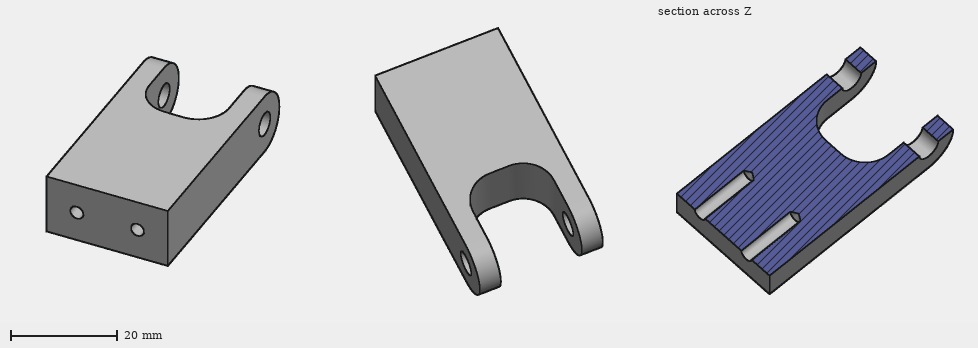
import cadquery as cq
import math

width = 25.4
length = 47.625
thickness = 12.7
end_radius = thickness / 2

ear_thickness = 4.35
slot_width = width - 2 * ear_thickness
slot_depth = 19.05
slot_corner_radius = 6.35

pin_diameter = 4.826
pin_y = length - end_radius

screw_hole_diameter = 2.705
screw_hole_depth = 12.7
screw_hole_spacing = width / 2
drill_point_angle = 118


def make_body():
    """Bar with a flat end at Y = 0 and a full round at the ear end."""
    half_thickness = thickness / 2
    return (
        cq.Workplane("YZ")
        .moveTo(0, -half_thickness)
        .lineTo(pin_y, -half_thickness)
        .threePointArc((length, 0), (pin_y, half_thickness))
        .lineTo(0, half_thickness)
        .close()
        .extrude(width / 2, both=True)
    )


def make_slot():
    """Open slot through the thickness, with rounded inner corners."""
    return (
        cq.Workplane("XY")
        .box(slot_width, slot_depth, thickness, centered=(True, False, True))
        .translate((0, length - slot_depth, 0))
        .edges("|Z and <Y")
        .fillet(slot_corner_radius)
    )


def make_pin_hole():
    """Cylinder along X crossing both ears."""
    return (
        cq.Workplane("YZ")
        .center(pin_y, 0)
        .circle(pin_diameter / 2)
        .extrude(width / 2, both=True)
    )


def make_screw_hole(x):
    """Drilled hole along +Y with a conical bottom."""
    radius = screw_hole_diameter / 2
    point_length = radius / math.tan(math.radians(drill_point_angle / 2))
    return (
        cq.Workplane("XY")
        .polyline([
            (0, 0),
            (radius, 0),
            (radius, screw_hole_depth),
            (0, screw_hole_depth + point_length),
        ])
        .close()
        .revolve(360, (0, 0), (0, 1))
        .translate((x, 0, 0))
    )


result = make_body().cut(make_slot()).cut(make_pin_hole())
for side in (-1, 1):
    result = result.cut(make_screw_hole(side * screw_hole_spacing / 2))